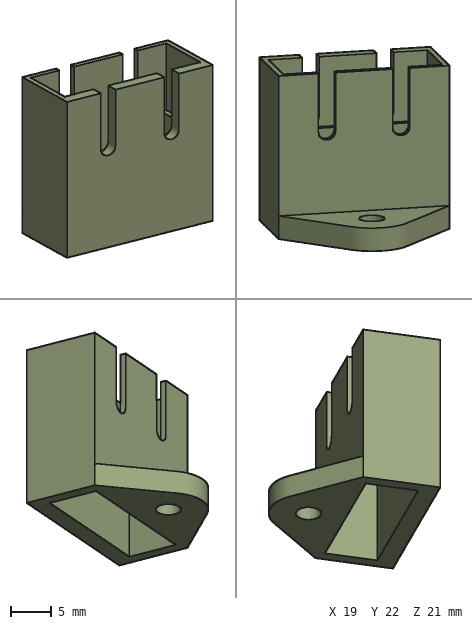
import cadquery as cq
import math

housing_length = 10.0
housing_width = 22.0
housing_height = 21.0

tab_radius = 5.0
tab_reach = 9.0
tab_thickness = 3.0
screw_hole_diameter = 3.2

thin_wall = 0.77
thick_wall = 1.65
ledge_width = 0.8
pocket_depth = 9.0

slot_width = 2.2
slot_depth = 8.6
slot_spacing = 9.57

half_width = housing_width / 2
tab_center_x = tab_radius - tab_reach


def make_box(x_min, x_max, width, z_min, z_max):
    """Box centred on Y between the given X and Z limits."""
    return cq.Workplane("XY").box(
        x_max - x_min, width, z_max - z_min, centered=(False, True, False)
    ).translate((x_min, 0, z_min))


def make_tab():
    """Mounting tab whose sides run from the housing corners tangent to its round end."""
    corner_distance = math.hypot(tab_center_x, half_width)
    corner_angle = math.atan2(half_width, -tab_center_x)
    tangent_angle = corner_angle + math.acos(tab_radius / corner_distance)
    tangent_x = tab_center_x + tab_radius * math.cos(tangent_angle)
    tangent_y = tab_radius * math.sin(tangent_angle)
    return (
        cq.Workplane("XY")
        .moveTo(0, half_width)
        .lineTo(tangent_x, tangent_y)
        .threePointArc((-tab_reach, 0), (tangent_x, -tangent_y))
        .lineTo(0, -half_width)
        .close()
        .extrude(tab_thickness)
    )


def make_screw_hole():
    """Vertical hole concentric with the round end of the tab."""
    return (
        cq.Workplane("XY")
        .center(tab_center_x, 0)
        .circle(screw_hole_diameter / 2)
        .extrude(tab_thickness)
    )


def make_cavity():
    """Upper pocket above a smaller through opening, leaving a ledge on three sides."""
    pocket_end = housing_length - thick_wall
    pocket_width = housing_width - 2 * thin_wall
    pocket_floor = housing_height - pocket_depth
    pocket = make_box(thin_wall, pocket_end, pocket_width, pocket_floor, housing_height)
    opening_width = pocket_width - 2 * ledge_width
    opening = make_box(thin_wall, pocket_end - ledge_width, opening_width, 0, housing_height)
    return pocket.union(opening)


def make_slot(y_position):
    """Round-bottomed slot, open at the top, through both long walls."""
    slot_radius = slot_width / 2
    arc_center_z = housing_height - slot_depth + slot_radius
    straight = make_box(0, housing_length, slot_width, arc_center_z, housing_height)
    round_bottom = (
        cq.Workplane("YZ").center(0, arc_center_z).circle(slot_radius).extrude(housing_length)
    )
    return straight.union(round_bottom).translate((0, y_position, 0))


housing = make_box(0, housing_length, housing_width, 0, housing_height)
result = housing.union(make_tab()).cut(make_screw_hole()).cut(make_cavity())
for side in (-1, 1):
    result = result.cut(make_slot(side * slot_spacing / 2))